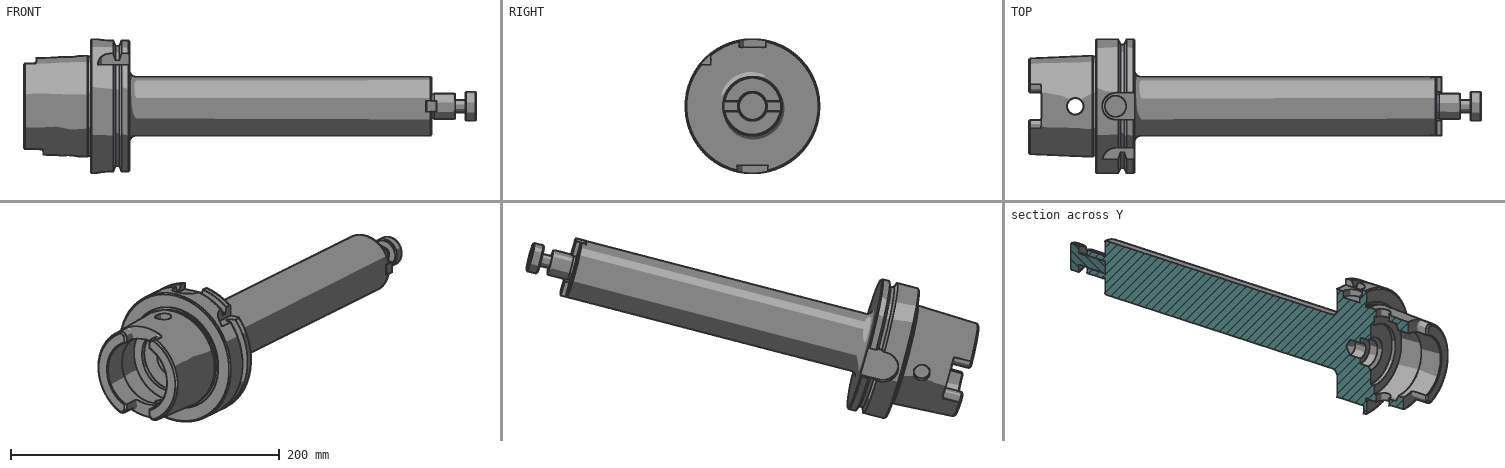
import cadquery as cq
import math

TOTAL_LENGTH = 337.0
CHAMFER_ANGLE = 45.0

TAPER_END_RADIUS = 35.7
TAPER_BASE_RADIUS = 37.7
TAPER_END_CHAMFER = 1.5
RELIEF_START = 47.5
RELIEF_RADIUS = 37.0
FACE_RECESS_RADIUS = 39.0
FACE_RECESS_DEPTH = 0.7

FLANGE_FRONT = 50.0
FLANGE_BACK = 79.0
FLANGE_RADIUS = 100.0 / 2
FLANGE_CHAMFER = 1.0
GRIP_GROOVE_CENTRE = 69.8
GRIP_GROOVE_TOP_WIDTH = 6.5
GRIP_GROOVE_FLOOR_WIDTH = 2.7
GRIP_GROOVE_RADIUS = 46.2

SHAFT_RADIUS = 44.0 / 2
SHAFT_FILLET = 4.7
SHAFT_END = 303.5
SHAFT_CHAMFER = 1.0
SPIGOT_RADIUS = 19.2 / 2
SPIGOT_END = 321.0
SPIGOT_LEAD_LENGTH = 1.5
SPIGOT_TIP_RADIUS = 18.5 / 2
UNDERCUT_RADIUS = 9.0
UNDERCUT_WIDTH = 2.0

BORE_RADIUS = 53.0 / 2
BORE_MOUTH_CHAMFER = 0.7
BORE_LIP_END = 19.2
CHAMBER_RADIUS = 31.5
CHAMBER_ANGLE = 60.0
CHAMBER_END = 42.5
FLOOR_RECESS_RADIUS = 24.3
BORE_FLOOR = 46.0
TUBE_SEAT_RADIUS = 21.0 / 2
TUBE_SEAT_MOUTH_RADIUS = 26.0 / 2
TUBE_SEAT_DEPTH = 10.0
COOLANT_DRILL_RADIUS = 6.0
COOLANT_DRILL_DEPTH = 10.0
DRILL_POINT_ANGLE = 118.0

CROSS_HOLE_DIAMETER = 12.0
CROSS_HOLE_X = 34.7

DRIVE_SLOT_WIDTH = 20.2
DRIVE_SLOT_EDGE_RADIUS = 4.5
DRIVE_SLOT_END_FILLET = 1.5
UPPER_DRIVE_SLOT_DEPTH = 9.5
LOWER_DRIVE_SLOT_DEPTH = 14.5

FLANGE_SLOT_CENTRE_X = 64.7
UPPER_FLANGE_SLOT_WIDTH = 20.0
LOWER_FLANGE_SLOT_WIDTH = 23.0
FLANGE_SLOT_FLOOR = 43.8
CHIP_HOLE_DIAMETER = 16.0
CHIP_HOLE_DEPTH = 5.0
NOTCH_CORNER = 31.0
NOTCH_RADIUS = 9.8

KEY_WIDTH = 8.0
KEY_START = 299.3
KEY_END = 307.7
KEY_INNER = 10.5
KEY_OUTER = 22.0
KEY_CHAMFER = 0.7

SCREW_SHANK_RADIUS = 4.7
SCREW_SHANK_START = 303.5
SCREW_HEAD_RADIUS = 22.0 / 2
SCREW_HEAD_START = 328.5
SCREW_HEAD_CHAMFER = 1.0


def turned(points):
    """Solid of revolution about X from (x, radius) points that start and end on the axis."""
    return cq.Workplane("XY").polyline(points).close().revolve(360, (0, 0, 0), (1, 0, 0))


def holder_blank():
    groove_half_top = GRIP_GROOVE_TOP_WIDTH / 2
    groove_half_floor = GRIP_GROOVE_FLOOR_WIDTH / 2
    fillet_mid = SHAFT_FILLET * (1 - math.sqrt(0.5))
    outline = (
        cq.Workplane("XY")
        .moveTo(0, 0)
        .lineTo(0, TAPER_END_RADIUS - TAPER_END_CHAMFER)
        .lineTo(TAPER_END_CHAMFER, TAPER_END_RADIUS)
        .lineTo(RELIEF_START, TAPER_BASE_RADIUS)
        .lineTo(RELIEF_START + TAPER_BASE_RADIUS - RELIEF_RADIUS, RELIEF_RADIUS)
        .lineTo(FLANGE_FRONT + FACE_RECESS_DEPTH, RELIEF_RADIUS)
        .lineTo(FLANGE_FRONT + FACE_RECESS_DEPTH, FACE_RECESS_RADIUS)
        .lineTo(FLANGE_FRONT, FACE_RECESS_RADIUS)
        .lineTo(FLANGE_FRONT, FLANGE_RADIUS - FLANGE_CHAMFER)
        .lineTo(FLANGE_FRONT + FLANGE_CHAMFER, FLANGE_RADIUS)
        .lineTo(GRIP_GROOVE_CENTRE - groove_half_top, FLANGE_RADIUS)
        .lineTo(GRIP_GROOVE_CENTRE - groove_half_floor, GRIP_GROOVE_RADIUS)
        .lineTo(GRIP_GROOVE_CENTRE + groove_half_floor, GRIP_GROOVE_RADIUS)
        .lineTo(GRIP_GROOVE_CENTRE + groove_half_top, FLANGE_RADIUS)
        .lineTo(FLANGE_BACK - FLANGE_CHAMFER, FLANGE_RADIUS)
        .lineTo(FLANGE_BACK, FLANGE_RADIUS - FLANGE_CHAMFER)
        .lineTo(FLANGE_BACK, SHAFT_RADIUS + SHAFT_FILLET)
        .threePointArc(
            (FLANGE_BACK + fillet_mid, SHAFT_RADIUS + fillet_mid),
            (FLANGE_BACK + SHAFT_FILLET, SHAFT_RADIUS),
        )
        .lineTo(SHAFT_END - SHAFT_CHAMFER, SHAFT_RADIUS)
        .lineTo(SHAFT_END, SHAFT_RADIUS - SHAFT_CHAMFER)
        .lineTo(SHAFT_END, UNDERCUT_RADIUS)
        .lineTo(SHAFT_END + UNDERCUT_WIDTH, UNDERCUT_RADIUS)
        .lineTo(SHAFT_END + UNDERCUT_WIDTH, SPIGOT_RADIUS)
        .lineTo(SPIGOT_END - SPIGOT_LEAD_LENGTH, SPIGOT_RADIUS)
        .lineTo(SPIGOT_END, SPIGOT_TIP_RADIUS)
        .lineTo(SPIGOT_END, 0)
        .close()
    )
    return outline.revolve(360, (0, 0, 0), (1, 0, 0))


def clamping_bore():
    """Stepped bore: lip, wider chamber, coolant tube seat and a drilled hole with a conical end."""
    chamber_run = (CHAMBER_RADIUS - BORE_RADIUS) / math.tan(math.radians(CHAMBER_ANGLE))
    seat_floor = BORE_FLOOR + TUBE_SEAT_DEPTH
    drill_end = seat_floor + COOLANT_DRILL_DEPTH
    drill_point = COOLANT_DRILL_RADIUS / math.tan(math.radians(DRILL_POINT_ANGLE / 2))
    return turned([
        (0, 0),
        (0, BORE_RADIUS + BORE_MOUTH_CHAMFER),
        (BORE_MOUTH_CHAMFER, BORE_RADIUS),
        (BORE_LIP_END, BORE_RADIUS),
        (BORE_LIP_END + chamber_run, CHAMBER_RADIUS),
        (CHAMBER_END, CHAMBER_RADIUS),
        (CHAMBER_END, FLOOR_RECESS_RADIUS),
        (BORE_FLOOR, FLOOR_RECESS_RADIUS),
        (BORE_FLOOR, TUBE_SEAT_MOUTH_RADIUS),
        (BORE_FLOOR + TUBE_SEAT_MOUTH_RADIUS - TUBE_SEAT_RADIUS, TUBE_SEAT_RADIUS),
        (seat_floor, TUBE_SEAT_RADIUS),
        (seat_floor, COOLANT_DRILL_RADIUS),
        (drill_end, COOLANT_DRILL_RADIUS),
        (drill_end + drill_point, 0),
    ])


def cross_hole():
    return (
        cq.Workplane("XY", origin=(CROSS_HOLE_X, 0, 0))
        .circle(CROSS_HOLE_DIAMETER / 2)
        .extrude(FLANGE_RADIUS, both=True)
    )


def drive_slot_outline(growth):
    """Slot outline across the taper wall; growth moves it outward by that distance.

    The arcs round the slot walls over into the outer surface of the taper.
    """
    half = DRIVE_SLOT_WIDTH / 2 + growth
    edge = DRIVE_SLOT_EDGE_RADIUS - growth
    centre_y = half + edge
    centre_z = math.sqrt((TAPER_END_RADIUS - DRIVE_SLOT_EDGE_RADIUS) ** 2 - centre_y ** 2)
    outer_angle = math.atan2(centre_z, centre_y)
    middle_angle = (math.pi + outer_angle) / 2
    outer_y = centre_y + edge * math.cos(outer_angle)
    outer_z = centre_z + edge * math.sin(outer_angle)
    mid_y = centre_y + edge * math.cos(middle_angle)
    mid_z = centre_z + edge * math.sin(middle_angle)
    top = FLANGE_RADIUS
    return (
        cq.Workplane("YZ")
        .moveTo(-half, 0)
        .lineTo(-half, centre_z)
        .threePointArc((-mid_y, mid_z), (-outer_y, outer_z))
        .lineTo(-outer_y, top)
        .lineTo(outer_y, top)
        .lineTo(outer_y, outer_z)
        .threePointArc((mid_y, mid_z), (half, centre_z))
        .lineTo(half, 0)
        .close()
    )


def drive_slot(depth, side):
    """Drive slot with a filleted end wall and a chamfered entry."""
    slot = drive_slot_outline(0).extrude(depth).faces(">X").edges().fillet(DRIVE_SLOT_END_FILLET)
    entry = drive_slot_outline(TAPER_END_CHAMFER).extrude(TAPER_END_CHAMFER, taper=CHAMFER_ANGLE)
    slot = slot.union(entry)
    return slot if side > 0 else slot.mirror("XY")


def round_ended_slot(centre_x, centre_y, width, floor):
    """Upright slot with a half-round end, running out through the back of the flange."""
    length = FLANGE_BACK - centre_x
    height = FLANGE_RADIUS - floor
    base = cq.Workplane("XY", origin=(centre_x, centre_y, floor))
    run = base.center(length / 2, 0).rect(length, width).extrude(height)
    return base.circle(width / 2).extrude(height).union(run)


def flange_slot(width, side):
    slot = round_ended_slot(FLANGE_SLOT_CENTRE_X, 0, width, FLANGE_SLOT_FLOOR)
    return slot if side > 0 else slot.mirror("XY")


def chip_hole():
    return (
        cq.Workplane("XY", origin=(FLANGE_SLOT_CENTRE_X, 0, FLANGE_SLOT_FLOOR))
        .circle(CHIP_HOLE_DIAMETER / 2)
        .extrude(-CHIP_HOLE_DEPTH)
    )


def orientation_notch():
    """Milled corner on the -Y, +Z side of the flange."""
    centre_y = -NOTCH_CORNER - NOTCH_RADIUS
    return round_ended_slot(FLANGE_SLOT_CENTRE_X, centre_y, 2 * NOTCH_RADIUS, NOTCH_CORNER)


def key_slot(side):
    """Open slot in the shaft end that seats one drive key."""
    slot = (
        cq.Workplane("XY")
        .box(KEY_END - KEY_START, SHAFT_RADIUS - KEY_INNER, KEY_WIDTH, centered=(False, False, True))
        .translate((KEY_START, KEY_INNER, 0))
    )
    return slot if side > 0 else slot.mirror("XZ")


def screw_hole():
    return (
        cq.Workplane("YZ", origin=(SCREW_SHANK_START, 0, 0))
        .circle(SCREW_SHANK_RADIUS)
        .extrude(TOTAL_LENGTH - SCREW_SHANK_START)
    )


def drive_key(side):
    """Square key set radially in the shaft end, chamfered on its outer and front edges."""
    key = (
        cq.Workplane("XY")
        .box(KEY_END - KEY_START, KEY_OUTER - KEY_INNER, KEY_WIDTH, centered=(False, False, True))
        .translate((KEY_START, KEY_INNER, 0))
        .faces(">Y")
        .edges("|Z")
        .chamfer(KEY_CHAMFER)
        .faces(">X")
        .edges("|Y")
        .chamfer(KEY_CHAMFER)
    )
    return key if side > 0 else key.mirror("XZ")


def clamping_screw():
    rim = SCREW_HEAD_RADIUS - SCREW_HEAD_CHAMFER
    return turned([
        (SCREW_SHANK_START, 0),
        (SCREW_SHANK_START, SCREW_SHANK_RADIUS),
        (SCREW_HEAD_START, SCREW_SHANK_RADIUS),
        (SCREW_HEAD_START, rim),
        (SCREW_HEAD_START + SCREW_HEAD_CHAMFER, SCREW_HEAD_RADIUS),
        (TOTAL_LENGTH - SCREW_HEAD_CHAMFER, SCREW_HEAD_RADIUS),
        (TOTAL_LENGTH, rim),
        (TOTAL_LENGTH, 0),
    ])


SIDES = (1, -1)
keys = [drive_key(side) for side in SIDES]
screw = clamping_screw()

holder = (
    holder_blank()
    .cut(clamping_bore())
    .cut(drive_slot(UPPER_DRIVE_SLOT_DEPTH, 1))
    .cut(drive_slot(LOWER_DRIVE_SLOT_DEPTH, -1))
    .cut(cross_hole())
    .cut(flange_slot(UPPER_FLANGE_SLOT_WIDTH, 1))
    .cut(flange_slot(LOWER_FLANGE_SLOT_WIDTH, -1))
    .cut(chip_hole())
    .cut(orientation_notch())
    .cut(screw_hole())
)
for side in SIDES:
    holder = holder.cut(key_slot(side))

result = cq.Compound.makeCompound([holder.val(), screw.val(), *[key.val() for key in keys]])